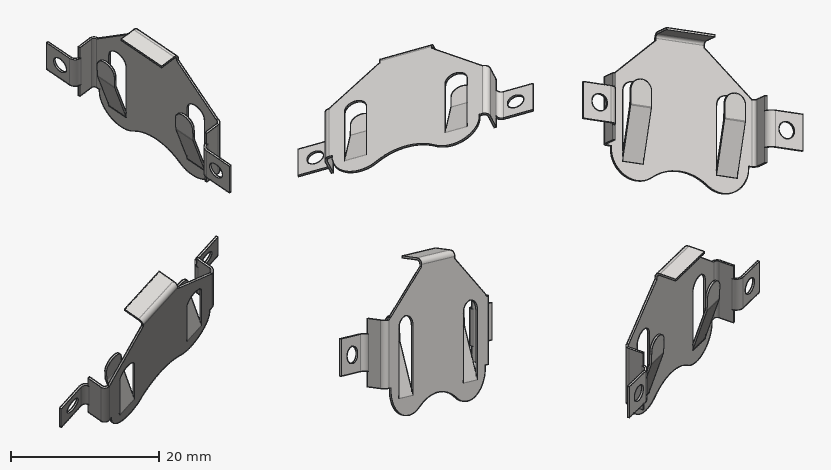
import cadquery as cq
import math

sheet = 0.3
overall_length = 34.0
overall_depth = 3.95
overall_height = 21.12
top_z = 12.07
bottom_z = top_z - overall_height

diagonal = math.sqrt(0.5)

fold_radius = 0.8

lip_width = 7.5
lip_depth = 3.25
lip_fold_z = top_z - fold_radius
shoulder_z = 10.95

wall_outer_x = 11.95
wall_height = 9.4
wall_depth = 3.05
wall_fold_x = wall_outer_x - fold_radius

ear_height = 5.15
ear_radius = 1.1
ear_bend_x = wall_outer_x - sheet + ear_radius
ear_bend_depth = overall_depth - ear_radius
ear_hole_diameter = 2.38
ear_hole_end_distance = 2.5
ear_hole_x = overall_length / 2 - ear_hole_end_distance

lobe_radius = 4.0
lobe_edge_x = 10.65
lobe_x = lobe_edge_x - lobe_radius
lobe_z = bottom_z + lobe_radius
notch_top_z = -6.85

finger_x = 7.28
finger_width = 3.2
finger_depth = 2.65
finger_bend_depth = 2.5
finger_root_depth = 0.25
finger_bend_radius = 0.5
finger_root_z = -6.63
finger_bend_z = 0.78
finger_tip_z = 4.52
slot_tip_z = 4.73


def plate():
    """Flat back plate, with the finger notch tangent to both lobes."""
    lobe_above_notch = lobe_z - notch_top_z
    notch_radius = (lobe_x**2 + lobe_above_notch**2 - lobe_radius**2) / (
        2 * (lobe_radius - lobe_above_notch)
    )
    notch_z = notch_top_z - notch_radius
    tangent_ratio = notch_radius / (notch_radius + lobe_radius)
    tangent_x = lobe_x * tangent_ratio
    tangent_z = notch_z + (lobe_z - notch_z) * tangent_ratio
    half_lip = lip_width / 2
    half_wall = wall_height / 2
    return (
        cq.Workplane("XZ")
        .moveTo(-half_lip, lip_fold_z)
        .lineTo(half_lip, lip_fold_z)
        .lineTo(half_lip, shoulder_z)
        .lineTo(wall_fold_x, half_wall)
        .lineTo(wall_fold_x, -half_wall)
        .lineTo(lobe_edge_x, -half_wall)
        .lineTo(lobe_edge_x, lobe_z)
        .threePointArc((lobe_x, bottom_z), (tangent_x, tangent_z))
        .threePointArc((0, notch_top_z), (-tangent_x, tangent_z))
        .threePointArc((-lobe_x, bottom_z), (-lobe_edge_x, lobe_z))
        .lineTo(-lobe_edge_x, -half_wall)
        .lineTo(-wall_fold_x, -half_wall)
        .lineTo(-wall_fold_x, half_wall)
        .lineTo(-half_lip, shoulder_z)
        .close()
        .extrude(sheet)
    )


def folded_flange(width, depth):
    """Flange centred on X = 0 whose bend leaves the plate upward at Z = 0."""
    inner_radius = fold_radius - sheet
    return (
        cq.Workplane("YZ")
        .moveTo(0, 0)
        .threePointArc(
            (-fold_radius * (1 - diagonal), fold_radius * diagonal),
            (-fold_radius, fold_radius),
        )
        .lineTo(-depth, fold_radius)
        .lineTo(-depth, inner_radius)
        .lineTo(-fold_radius, inner_radius)
        .threePointArc(
            (-fold_radius + inner_radius * diagonal, inner_radius * diagonal),
            (-sheet, 0),
        )
        .close()
        .extrude(width / 2, both=True)
    )


def side_wall():
    """Right side wall, relieved where the mounting ear bends away."""
    wall = (
        folded_flange(wall_height, wall_depth)
        .rotate((0, 0, 0), (0, 1, 0), 90)
        .translate((wall_fold_x, 0, 0))
    )
    relief = (
        cq.Workplane("XY")
        .box(2 * fold_radius, 2 * (wall_depth - ear_bend_depth), ear_height)
        .translate((wall_outer_x, -wall_depth, 0))
    )
    return wall.cut(relief)


def mounting_ear():
    """Right ear: an outward bend off the side wall and a flat, drilled tab."""
    inner_radius = ear_radius - sheet
    ear = (
        cq.Workplane("XY")
        .moveTo(wall_outer_x - sheet, -ear_bend_depth)
        .threePointArc(
            (ear_bend_x - ear_radius * diagonal, -ear_bend_depth - ear_radius * diagonal),
            (ear_bend_x, -overall_depth),
        )
        .lineTo(overall_length / 2, -overall_depth)
        .lineTo(overall_length / 2, sheet - overall_depth)
        .lineTo(ear_bend_x, sheet - overall_depth)
        .threePointArc(
            (ear_bend_x - inner_radius * diagonal, -ear_bend_depth - inner_radius * diagonal),
            (wall_outer_x, -ear_bend_depth),
        )
        .close()
        .extrude(ear_height / 2, both=True)
    )
    hole = (
        cq.Workplane("XZ")
        .center(ear_hole_x, 0)
        .circle(ear_hole_diameter / 2)
        .extrude(overall_depth)
    )
    return ear.cut(hole)


def round_topped_prism(tip_z, depth):
    """Prism over the finger's outline with a semicircular top reaching tip_z."""
    half_width = finger_width / 2
    arc_z = tip_z - half_width
    return (
        cq.Workplane("XZ")
        .moveTo(finger_x - half_width, finger_root_z)
        .lineTo(finger_x + half_width, finger_root_z)
        .lineTo(finger_x + half_width, arc_z)
        .threePointArc((finger_x, tip_z), (finger_x - half_width, arc_z))
        .close()
        .extrude(depth)
    )


def spring_finger():
    """Right finger: a ramp rising from the plate, bent back to a nearly upright tip."""
    ramp_slope = (finger_bend_depth - finger_root_depth) / (finger_bend_z - finger_root_z)
    ramp_back_z = finger_root_z + (sheet - finger_root_depth) / ramp_slope
    side_profile = (
        cq.Workplane("YZ")
        .moveTo(0, finger_root_z)
        .lineTo(-finger_root_depth, finger_root_z)
        .lineTo(-finger_bend_depth, finger_bend_z)
        .lineTo(-finger_depth, finger_tip_z)
        .lineTo(sheet - finger_depth, finger_tip_z)
        .lineTo(sheet - finger_bend_depth, finger_bend_z)
        .lineTo(0, ramp_back_z)
        .close()
        .extrude(overall_length / 2)
    )
    front_bend = cq.selectors.NearestToPointSelector(
        (overall_length / 4, -finger_bend_depth, finger_bend_z)
    )
    rounded = side_profile.edges("|X").edges(front_bend).fillet(finger_bend_radius)
    return rounded.intersect(round_topped_prism(finger_tip_z, finger_depth))


def both_sides(right_half):
    """The given right-hand feature together with its mirror image."""
    return right_half.union(right_half.mirror("YZ"))


top_lip = folded_flange(lip_width, lip_depth).translate((0, 0, lip_fold_z))
finger_slots = both_sides(round_topped_prism(slot_tip_z, sheet))

result = (
    plate()
    .cut(finger_slots)
    .union(top_lip)
    .union(both_sides(side_wall()))
    .union(both_sides(mounting_ear()))
    .union(both_sides(spring_finger()))
)